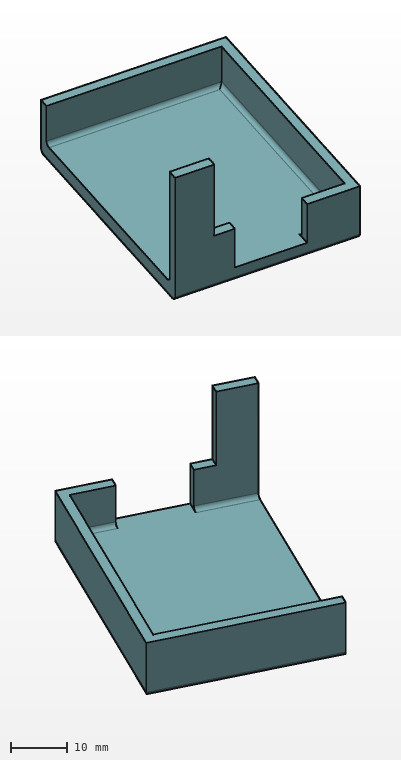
import cadquery as cq

length = 49.3
depth = 37.6
floor_thickness = 3.0
wall_top = 11.75
wall_thickness = 2.0
bottom_round = 1.0
inner_round = 0.9

opening_front = 12.2
opening_back = 26.85
tower_depth = 8.0
tower_top = 27.8


def box(x, y, z, size_x, size_y, size_z):
    """Box with its lowest corner at (x, y, z)."""
    return cq.Workplane("XY").box(size_x, size_y, size_z, centered=False).translate((x, y, z))


def outer_block():
    """Solid tray envelope, rounded under the left, right and back edges."""
    block = box(0, 0, 0, length, depth, wall_top)
    return block.faces("<Z").edges("|Y or >Y").fillet(bottom_round)


def cavity():
    """Hollow open at the front and top, rounded where walls meet the floor."""
    hollow = box(
        wall_thickness, 0, floor_thickness,
        length - 2 * wall_thickness, depth - wall_thickness, wall_top - floor_thickness,
    )
    return hollow.faces("<Z").edges("|Y or >Y").fillet(inner_round)


def wall_opening():
    """Gap through the +X wall and its inner round, down to the floor."""
    cut_width = wall_thickness + inner_round
    return box(
        length - cut_width, opening_front, floor_thickness,
        cut_width, opening_back - opening_front, wall_top - floor_thickness,
    )


def tower():
    """Upright continuing the front end of the +X wall."""
    return box(
        length - wall_thickness, 0, floor_thickness,
        wall_thickness, tower_depth, tower_top - floor_thickness,
    )


result = outer_block().cut(cavity()).cut(wall_opening()).union(tower())